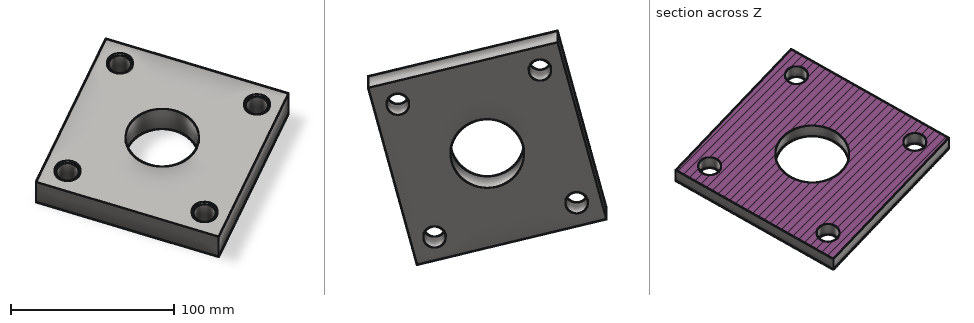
import cadquery as cq

plate_side = 120.0
plate_thickness = 20.0

bore_diameter = 45.0

bolt_spacing = 90.0
bolt_diameter = 13.8
chamfer_diameter = 16.0
chamfer_angle = 90.0

plate = cq.Workplane("XY").box(plate_side, plate_side, plate_thickness)

bored_plate = plate.faces(">Z").workplane().hole(bore_diameter)

result = (
    bored_plate.faces(">Z")
    .workplane()
    .rarray(bolt_spacing, bolt_spacing, 2, 2)
    .cskHole(bolt_diameter, chamfer_diameter, chamfer_angle)
)